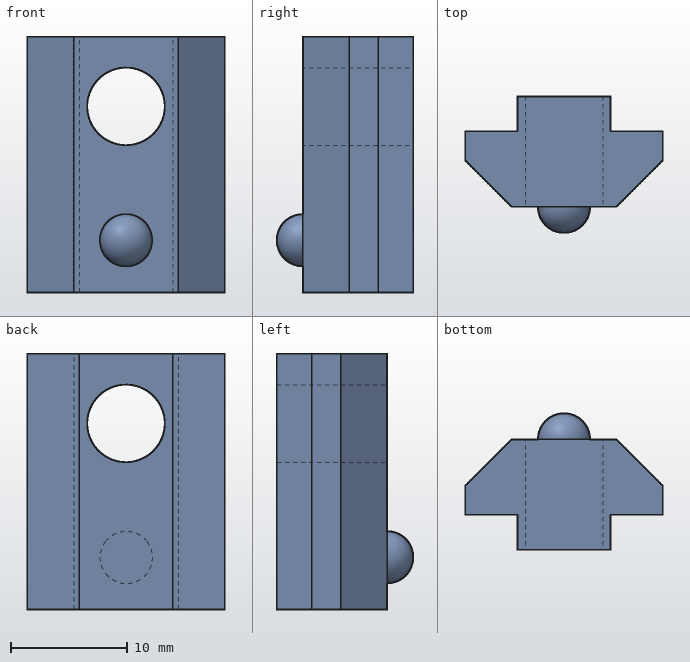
import cadquery as cq

length = 22.0
body_width = 17.0
neck_width = 8.0
neck_depth = 3.0
side_depth = 2.5
chamfer = 4.0
bore_diameter = 6.65
bore_height = 16.0
ball_diameter = 4.5
ball_height = 4.5

wing_depth = chamfer + side_depth
total_depth = wing_depth + neck_depth
half_body = body_width / 2
half_neck = neck_width / 2
half_front = half_body - chamfer


def make_body():
    """Extrude the T-shaped cross-section along Z."""
    right_half = [
        (half_front, 0),
        (half_body, chamfer),
        (half_body, wing_depth),
        (half_neck, wing_depth),
        (half_neck, total_depth),
    ]
    left_half = [(-x, y) for x, y in reversed(right_half)]
    return cq.Workplane("XY").polyline(right_half + left_half).close().extrude(length)


def make_bore():
    """Cylinder along Y through the whole depth."""
    return (
        cq.Workplane("XZ")
        .center(0, bore_height)
        .circle(bore_diameter / 2)
        .extrude(-total_depth)
    )


def make_ball():
    """Sphere centred on the front face, so half of it stands proud."""
    return cq.Workplane("XY").sphere(ball_diameter / 2).translate((0, 0, ball_height))


result = make_body().cut(make_bore()).union(make_ball())